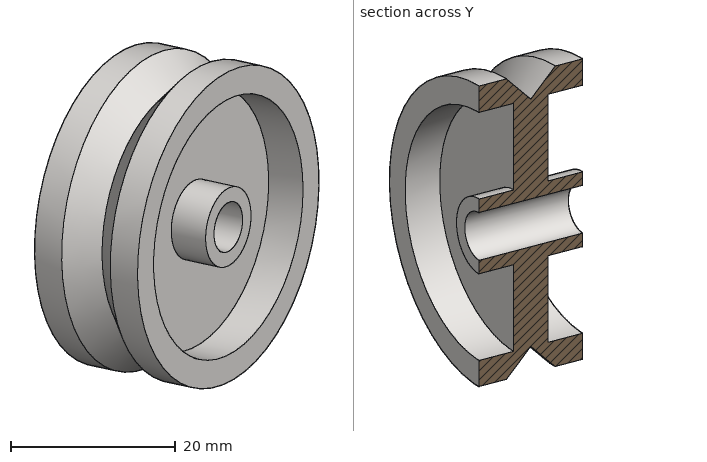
import cadquery as cq
import math

wheel_diameter = 40.0
wheel_width = 15.0
groove_flank = 5.0
hub_diameter = 10.0
bore_diameter = 6.3
web_thickness = 5.0

wheel_radius = wheel_diameter / 2
half_width = wheel_width / 2
recess_depth = (wheel_width - web_thickness) / 2
groove_depth = groove_flank * math.sin(math.radians(45))
groove_half_width = groove_flank * math.cos(math.radians(45))
groove_bottom_radius = wheel_radius - groove_depth
recess_radius = groove_bottom_radius


def make_grooved_wheel():
    """Solid disc with a V groove around its rim, revolved about X."""
    profile = (
        cq.Workplane("XZ")
        .moveTo(-half_width, 0)
        .lineTo(-half_width, wheel_radius)
        .lineTo(-groove_half_width, wheel_radius)
        .lineTo(0, groove_bottom_radius)
        .lineTo(groove_half_width, wheel_radius)
        .lineTo(half_width, wheel_radius)
        .lineTo(half_width, 0)
        .close()
    )
    return profile.revolve(360, (0, 0, 0), (1, 0, 0))


def make_recess(start_x):
    """Ring-shaped pocket between hub and rim, reaching from start_x towards +X."""
    return (
        cq.Workplane("YZ", origin=(start_x, 0, 0))
        .circle(recess_radius)
        .circle(hub_diameter / 2)
        .extrude(recess_depth)
    )


def make_bore():
    """Axle hole through the full width."""
    return (
        cq.Workplane("YZ", origin=(-half_width, 0, 0))
        .circle(bore_diameter / 2)
        .extrude(wheel_width)
    )


result = make_grooved_wheel()
for recess_start in (-half_width, half_width - recess_depth):
    result = result.cut(make_recess(recess_start))
result = result.cut(make_bore())